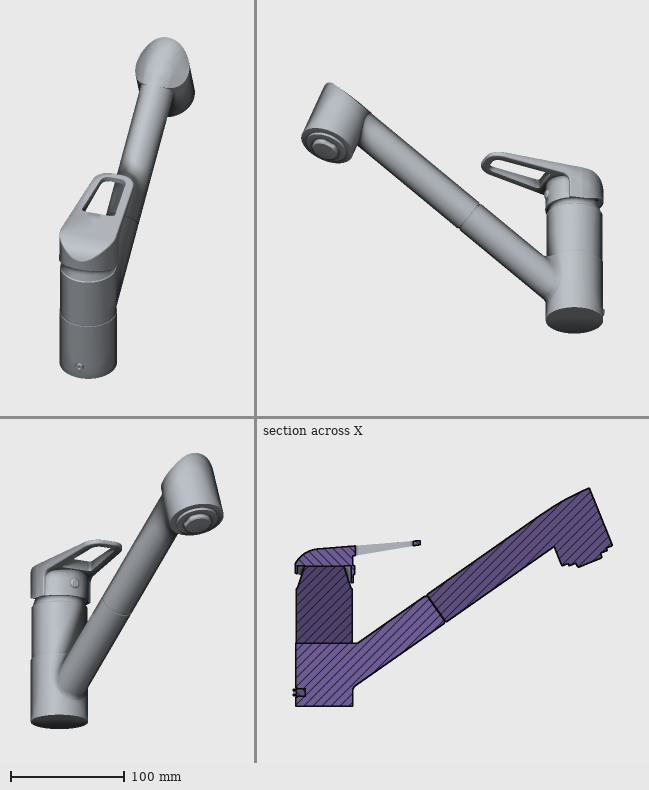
import cadquery as cq
import math

BASE_RADIUS = 25.5
BASE_HEIGHT = 56.1
SPOUT_RADIUS = 15.0
SPOUT_ANGLE = 35.0
SPOUT_START_Z = 17.2
SPOUT_JOINT = 119.3
JOINT_GAP = 1.7
JOINT_NECK_RADIUS = 14.0
SPOUT_FILLET = 5.6

SCREW_Z = 12.5
SCREW_RADIUS = 3.0
SCREW_RECESS_RADIUS = 4.0
SCREW_RECESS_DEPTH = 1.5
SCREW_DEPTH = 8.5
SCREW_TIP_Y = -27.5
SCREW_SOCKET = 3.5
SCREW_SOCKET_DEPTH = 2.3

SLEEVE_RADIUS = 24.8
SLEEVE_TOP = 104.5
SLEEVE_CHAMFER = 0.8
CONE_BOTTOM_RADIUS = 24.0
CONE_TOP_RADIUS = 17.5
CONE_TOP = 124.0

LEVER_RADIUS = 51.5 / 2
LEVER_BOTTOM = 109.2
LEVER_TIP_Y = 85.5
LEVER_TIP_TOP = 146.7
LEVER_TIP_BOTTOM = 142.8
LEVER_TAPER = 5.1
LEVER_TIP_CORNER = 14.0
CREST_Y = -4.5
CREST_Z = 139.5
BACK_MIDDLE_Y = -18.5
BACK_MIDDLE_Z = 134.3
BACK_TOP = 125.8
BACK_BOTTOM = 117.6
SLOPE_START_Y = -2.3
ARM_ROOT_Y = 13.0
LEVER_DRAFT = 0.8
LEVER_BORE_RADIUS = 23.7
ARM_ROOT_FILLET = 7.0
UNDERSIDE_Z = 133.0
LEVER_EDGE_FILLET = 1.5
UNDERSIDE_FILLET = 1.0
TOP_FACE_POINT = (0, 39.5, 143.0)
UNDERSIDE_POINT = (0, 56.5, 138.2)
WINDOW_NEAR_Y = 27.6
WINDOW_FAR_Y = 78.5
WINDOW_NEAR_HALF = 15.5
WINDOW_NEAR_CORNER = 2.8
WINDOW_FAR_CORNER = 7.0
PLUG_Z = 120.5
PLUG_RADIUS = 4.2
PLUG_ROOT_Y = LEVER_RADIUS - 2.8
PLUG_TIP_Y = 27.5
PLUG_CHAMFER = 1.0

HEAD_RADIUS = 24.3
HEAD_TILT = 22.0
HEAD_BOTTOM_Y = 232.2
HEAD_BOTTOM_Z = 133.0
HEAD_BLANK_LENGTH = 67.7
CROWN_START = 243.8
CROWN_HALF_WIDTH = 28.2
CROWN_DEPTH = 112.8
CROWN_SECTIONS = [(-6.0, 15.2, 11.3), (4.0, 21.2, 12.7), (14.0, 33.9, 22.5)]
RIDGE_BEND_RADIUS = 242.5
FLANGE_RADIUS = 18.3
FLANGE_DROP = 2.3
NOZZLE_RADIUS = 11.8
NOZZLE_DROP = 6.5
NOZZLE_CHAMFER = 1.0
NOZZLE_FLATS = 21.5


def spout_cylinder(radius, start, end):
    """Round bar on the spout axis between two distances from the base axis."""
    angle = math.radians(SPOUT_ANGLE)
    direction = cq.Vector(0, math.cos(angle), math.sin(angle))
    origin = cq.Vector(0, 0, SPOUT_START_Z) + direction * start
    return cq.Workplane(cq.Solid.makeCylinder(radius, end - start, origin, direction))


def screw_cylinder(radius, start_y, end_y):
    """Round bar on the screw axis."""
    length = end_y - start_y
    return cq.Workplane(
        cq.Solid.makeCylinder(radius, length, cq.Vector(0, start_y, SCREW_Z), cq.Vector(0, 1, 0))
    )


def make_base():
    """Round column with the fixed stub of the spout, blended where the stub leaves the wall."""
    blank_height = 2 * BASE_HEIGHT
    stub = spout_cylinder(SPOUT_RADIUS, 0, SPOUT_JOINT)
    base = cq.Workplane().circle(BASE_RADIUS).extrude(blank_height).union(stub)
    stub_root = cq.selectors.BoxSelector(
        (-BASE_RADIUS, 2.8, 2.8), (BASE_RADIUS, BASE_RADIUS + 2.8, 1.5 * BASE_HEIGHT)
    )
    base = base.edges(stub_root).edges("not %CIRCLE").edges("not %LINE").fillet(SPOUT_FILLET)
    top_plane = cq.Workplane().workplane(offset=BASE_HEIGHT)
    blend_top = top_plane.circle(BASE_RADIUS + 8.5).extrude(blank_height).cut(stub)
    column_top = cq.Workplane().workplane(offset=BASE_HEIGHT).circle(BASE_RADIUS).extrude(blank_height)
    base = base.cut(blend_top).cut(column_top)
    base = base.union(spout_cylinder(JOINT_NECK_RADIUS, SPOUT_JOINT - 2.8, SPOUT_JOINT + JOINT_GAP))
    recess = screw_cylinder(SCREW_RECESS_RADIUS, -2 * BASE_RADIUS, -BASE_RADIUS + SCREW_RECESS_DEPTH)
    bore = screw_cylinder(SCREW_RADIUS, -2 * BASE_RADIUS, -BASE_RADIUS + SCREW_DEPTH)
    return base.cut(recess).cut(bore)


def make_screw():
    """Set screw with a hexagon socket in its outer end."""
    screw = screw_cylinder(SCREW_RADIUS, SCREW_TIP_Y, -BASE_RADIUS + SCREW_DEPTH)
    socket = (
        cq.Workplane("XZ", origin=(0, SCREW_TIP_Y, SCREW_Z))
        .polygon(6, SCREW_SOCKET)
        .extrude(-SCREW_SOCKET_DEPTH)
    )
    return screw.cut(socket)


def cone_blank():
    """Tapered neck that carries the lever."""
    return cq.Workplane(
        cq.Solid.makeCone(
            CONE_BOTTOM_RADIUS, CONE_TOP_RADIUS, CONE_TOP - SLEEVE_TOP, cq.Vector(0, 0, SLEEVE_TOP)
        )
    )


def make_sleeve():
    """Chamfered sleeve standing on the base, with the tapered neck on top."""
    sleeve = (
        cq.Workplane()
        .workplane(offset=BASE_HEIGHT)
        .circle(SLEEVE_RADIUS)
        .extrude(SLEEVE_TOP - BASE_HEIGHT)
        .faces(">Z")
        .chamfer(SLEEVE_CHAMFER)
    )
    return sleeve.union(cone_blank())


def lever_plan():
    """Lever seen from above: a round barrel with two tangent sides tapering to the tip."""
    taper = math.radians(LEVER_TAPER)
    tangent_x = LEVER_RADIUS * math.cos(taper)
    tangent_y = LEVER_RADIUS * math.sin(taper)
    tip_x = tangent_x - (LEVER_TIP_Y - tangent_y) * math.tan(taper)
    plan = (
        cq.Workplane()
        .workplane(offset=LEVER_BOTTOM)
        .moveTo(tangent_x, tangent_y)
        .lineTo(tip_x, LEVER_TIP_Y)
        .lineTo(-tip_x, LEVER_TIP_Y)
        .lineTo(-tangent_x, tangent_y)
        .threePointArc((0, -LEVER_RADIUS), (tangent_x, tangent_y))
        .close()
        .extrude(LEVER_TIP_TOP - LEVER_BOTTOM + 2.8, taper=LEVER_DRAFT)
    )
    return plan.faces(">Y").edges("not |X").fillet(LEVER_TIP_CORNER)


def lever_profile():
    """Lever seen from the side: arm, crest, rounded back and sloping underside."""
    underside_slope = (LEVER_TIP_BOTTOM - UNDERSIDE_Z) / (LEVER_TIP_Y - LEVER_RADIUS)
    root_z = UNDERSIDE_Z - underside_slope * (LEVER_RADIUS - ARM_ROOT_Y)
    profile = (
        cq.Workplane("YZ")
        .workplane(offset=-LEVER_RADIUS - 2.8)
        .moveTo(LEVER_TIP_Y, LEVER_TIP_TOP)
        .lineTo(CREST_Y, CREST_Z)
        .threePointArc((BACK_MIDDLE_Y, BACK_MIDDLE_Z), (-LEVER_RADIUS, BACK_TOP))
        .lineTo(-LEVER_RADIUS, BACK_BOTTOM)
        .lineTo(SLOPE_START_Y, LEVER_BOTTOM)
        .lineTo(ARM_ROOT_Y, LEVER_BOTTOM)
        .lineTo(ARM_ROOT_Y, root_z)
        .lineTo(LEVER_TIP_Y, LEVER_TIP_BOTTOM)
        .close()
        .extrude(2 * LEVER_RADIUS + 5.6)
    )
    root = cq.selectors.NearestToPointSelector((0, ARM_ROOT_Y, root_z))
    return profile.edges("|X").edges(root).fillet(ARM_ROOT_FILLET)


def lever_window():
    """Tapered opening through the arm, parallel to its sides."""
    far_half = WINDOW_NEAR_HALF - (WINDOW_FAR_Y - WINDOW_NEAR_Y) * math.tan(math.radians(LEVER_TAPER))
    return (
        cq.Workplane()
        .workplane(offset=LEVER_BOTTOM)
        .polyline(
            [
                (-WINDOW_NEAR_HALF, WINDOW_NEAR_Y),
                (WINDOW_NEAR_HALF, WINDOW_NEAR_Y),
                (far_half, WINDOW_FAR_Y),
                (-far_half, WINDOW_FAR_Y),
            ]
        )
        .close()
        .extrude(2 * (LEVER_TIP_TOP - LEVER_BOTTOM))
        .edges("|Z and >Y")
        .fillet(WINDOW_FAR_CORNER)
        .edges("|Z and <Y")
        .fillet(WINDOW_NEAR_CORNER)
    )


def lever_blank():
    """Arm, crest and rear half of the lever, with rounded outer edges on the arm."""
    top_face = cq.selectors.NearestToPointSelector(TOP_FACE_POINT)
    underside = cq.selectors.NearestToPointSelector(UNDERSIDE_POINT)
    blank = lever_plan().intersect(lever_profile())
    blank = blank.faces(top_face).edges("not |X").fillet(LEVER_EDGE_FILLET)
    return blank.faces(underside).edges("not |X").fillet(UNDERSIDE_FILLET)


def lever_barrel():
    """Front half of the round barrel below the arm."""
    return (
        cq.Workplane()
        .workplane(offset=LEVER_BOTTOM)
        .moveTo(-LEVER_RADIUS, 0)
        .threePointArc((0, LEVER_RADIUS), (LEVER_RADIUS, 0))
        .close()
        .extrude(UNDERSIDE_Z + LEVER_EDGE_FILLET - LEVER_BOTTOM, taper=LEVER_DRAFT)
    )


def lever_plug():
    """Small chamfered button on the front of the barrel."""
    return (
        cq.Workplane("XZ", origin=(0, PLUG_ROOT_Y, PLUG_Z))
        .circle(PLUG_RADIUS)
        .extrude(PLUG_ROOT_Y - PLUG_TIP_Y)
        .faces(">Y")
        .chamfer(PLUG_CHAMFER)
    )


def make_lever():
    """Hollow lever with an open arm, sitting on the tapered neck of the sleeve."""
    bore = (
        cq.Workplane()
        .workplane(offset=LEVER_BOTTOM)
        .circle(LEVER_BORE_RADIUS)
        .extrude(CONE_TOP - LEVER_BOTTOM)
    )
    lever = lever_blank().cut(lever_window())
    return lever.union(lever_barrel()).union(lever_plug()).cut(bore)


def head_plane(drop=0):
    """Plane across the head axis, facing up, the given distance below the head's lower rim."""
    tilt = math.radians(HEAD_TILT)
    axis = cq.Vector(0, -math.sin(tilt), math.cos(tilt))
    origin = cq.Vector(0, HEAD_BOTTOM_Y, HEAD_BOTTOM_Z) - axis * drop
    return cq.Workplane(cq.Plane(origin, (1, 0, 0), axis))


def crown_section(bend, radius, half_arc):
    """Closed wire across the crown: a rounded ridge with tangent flanks, turned by the bend angle."""
    angle = math.radians(SPOUT_ANGLE)
    along = cq.Vector(0, math.cos(angle), math.sin(angle))
    outward = cq.Vector(0, -math.sin(angle), math.cos(angle))
    start = cq.Vector(0, 0, SPOUT_START_Z) + along * CROWN_START + outward * SPOUT_RADIUS
    pivot = start - outward * RIDGE_BEND_RADIUS
    arc_drop = radius - math.sqrt(radius**2 - half_arc**2)
    flank_slope = half_arc / math.sqrt(radius**2 - half_arc**2)
    edge_drop = arc_drop + flank_slope * (CROWN_HALF_WIDTH - half_arc)
    section = (
        cq.Workplane(cq.Plane(start, (1, 0, 0), along * -1))
        .moveTo(-CROWN_HALF_WIDTH, -edge_drop)
        .lineTo(-half_arc, -arc_drop)
        .threePointArc((0, 0), (half_arc, -arc_drop))
        .lineTo(CROWN_HALF_WIDTH, -edge_drop)
        .lineTo(CROWN_HALF_WIDTH, -CROWN_DEPTH)
        .lineTo(-CROWN_HALF_WIDTH, -CROWN_DEPTH)
        .close()
        .wire()
        .val()
    )
    return section.rotate(pivot, pivot + cq.Vector(2.8, 0, 0), -bend)


def head_crown():
    """Solid whose ridge leaves the spout tangentially, then bends down and widens over the head."""
    return cq.Workplane(cq.Solid.makeLoft([crown_section(*section) for section in CROWN_SECTIONS]))


def make_spray():
    """Pull-out spray: pipe, tilted head, outlet flange and nozzle with two flats."""
    head = head_plane().circle(HEAD_RADIUS).extrude(HEAD_BLANK_LENGTH)
    pipe_end = HEAD_BOTTOM_Y / math.cos(math.radians(SPOUT_ANGLE)) - HEAD_RADIUS
    head = head.union(spout_cylinder(SPOUT_RADIUS, CROWN_START, pipe_end))
    head = head.intersect(head_crown())
    pipe = spout_cylinder(SPOUT_RADIUS, SPOUT_JOINT + JOINT_GAP, CROWN_START)
    flange = head_plane(FLANGE_DROP).circle(FLANGE_RADIUS).extrude(2 * FLANGE_DROP)
    nozzle = (
        head_plane(NOZZLE_DROP)
        .circle(NOZZLE_RADIUS)
        .extrude(NOZZLE_DROP)
        .faces("<Z")
        .chamfer(NOZZLE_CHAMFER)
    )
    flats = head_plane(NOZZLE_DROP).rect(NOZZLE_FLATS, 4 * NOZZLE_RADIUS).extrude(NOZZLE_DROP)
    return pipe.union(head).union(flange).union(nozzle.intersect(flats))


base = make_base()
screw = make_screw()
sleeve = make_sleeve()
lever = make_lever()
spray = make_spray()

result = cq.Compound.makeCompound(
    [base.val(), screw.val(), sleeve.val(), lever.val(), spray.val()]
)